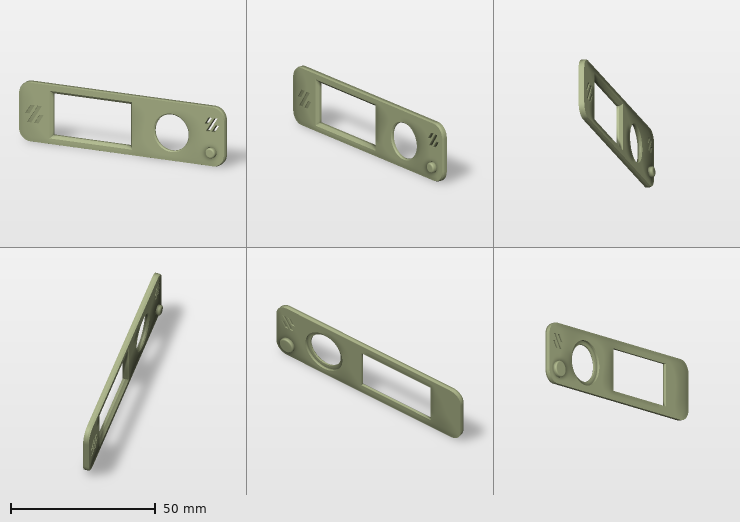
import cadquery as cq

PLATE_LENGTH = 79.3
PLATE_HEIGHT = 21.6
PLATE_THICKNESS = 2.0
CORNER_RADIUS = 4.5
EDGE_BEVEL_DEPTH = 0.7
EDGE_BEVEL_INSET = 0.2

WINDOW_LEFT = -26.65
WINDOW_RIGHT = 3.1
WINDOW_HEIGHT = 15.1
WINDOW_BEVEL = 1.0

DIAL_X = 19.2
DIAL_Z = -0.55
DIAL_DIAMETER = 13.0
DIAL_CHAMFER = 0.4
DIAL_RECESS_DIAMETER = 15.9
DIAL_RECESS_DEPTH = 0.95

SLOT_GROUP_HEIGHT = 5.1
SLOT_WIDTH_RATIO = 0.25
SLOT_PITCH_RATIO = 0.43
SLOT_LEAN = 0.64
OPEN_SLOTS_X = 34.75
OPEN_SLOTS_Z = 4.3
SHALLOW_SLOTS_X = -33.5
SHALLOW_SLOTS_Z = DIAL_Z
SHALLOW_SLOTS_HEIGHT = 6.35
SHALLOW_SLOTS_DEPTH = 0.4

BUTTON_X = 34.7
BUTTON_Z = -5.6
BUTTON_HOLE_DIAMETER = 4.0
BUTTON_DIAMETER = 3.7
BUTTON_PROTRUSION = 1.6
BUTTON_ROUNDING = 0.6
FLANGE_DIAMETER = 5.7
FLANGE_THICKNESS = 1.3
FLANGE_ROUNDING = 0.5


def front_plane(x=0, y=0, z=0):
    """Plane at the given point, facing +Y, with local axes along +Z and +X."""
    return cq.Workplane(cq.Plane(origin=(x, y, z), xDir=(0, 0, 1), normal=(0, 1, 0)))


def cylinder(x, z, diameter, start, end):
    return front_plane(x, start, z).circle(diameter / 2).extrude(end - start)


def plate_blank():
    """Rounded rectangle whose front rim has a steep bevel."""
    return (
        front_plane()
        .rect(PLATE_HEIGHT, PLATE_LENGTH)
        .extrude(PLATE_THICKNESS)
        .edges("|Y")
        .fillet(CORNER_RADIUS)
        .faces("<Y")
        .chamfer(EDGE_BEVEL_DEPTH, EDGE_BEVEL_INSET)
    )


def window_cutter():
    width = WINDOW_RIGHT - WINDOW_LEFT
    center_x = (WINDOW_LEFT + WINDOW_RIGHT) / 2
    opening = front_plane(center_x).rect(WINDOW_HEIGHT, width).extrude(PLATE_THICKNESS)
    rim = (
        front_plane(center_x)
        .rect(WINDOW_HEIGHT + 2 * WINDOW_BEVEL, width + 2 * WINDOW_BEVEL)
        .workplane(offset=WINDOW_BEVEL)
        .rect(WINDOW_HEIGHT, width)
        .loft(ruled=True)
    )
    return opening.union(rim)


def dial_cutter():
    bore = cylinder(DIAL_X, DIAL_Z, DIAL_DIAMETER, 0, PLATE_THICKNESS)
    recess_floor = PLATE_THICKNESS - DIAL_RECESS_DEPTH
    recess = cylinder(DIAL_X, DIAL_Z, DIAL_RECESS_DIAMETER, recess_floor, PLATE_THICKNESS)
    rim_radius = DIAL_DIAMETER / 2 + DIAL_CHAMFER
    rim = cq.Solid.makeCone(
        rim_radius, DIAL_DIAMETER / 2, DIAL_CHAMFER, cq.Vector(DIAL_X, 0, DIAL_Z), cq.Vector(0, 1, 0)
    )
    return bore.union(recess).union(cq.Workplane(rim))


def slot_cutter(x, z, group_height, depth):
    """A long middle slot, a short upper-left slot and a short lower-right slot."""
    half_height = group_height / 2
    half_width = SLOT_WIDTH_RATIO * group_height / 2
    pitch = SLOT_PITCH_RATIO * group_height
    slots = cq.Workplane()
    for shift, bottom, top in (
        (-pitch, 0, half_height),
        (0, -half_height, half_height),
        (pitch, -half_height, 0),
    ):
        low = shift + SLOT_LEAN * bottom
        high = shift + SLOT_LEAN * top
        corners = [
            (bottom, low - half_width),
            (bottom, low + half_width),
            (top, high + half_width),
            (top, high - half_width),
        ]
        slots = slots.add(front_plane(x, 0, z).polyline(corners).close().extrude(depth))
    return slots.combine()


def make_plate():
    return (
        plate_blank()
        .cut(window_cutter())
        .cut(dial_cutter())
        .cut(slot_cutter(OPEN_SLOTS_X, OPEN_SLOTS_Z, SLOT_GROUP_HEIGHT, PLATE_THICKNESS))
        .cut(slot_cutter(SHALLOW_SLOTS_X, SHALLOW_SLOTS_Z, SHALLOW_SLOTS_HEIGHT, SHALLOW_SLOTS_DEPTH))
        .cut(cylinder(BUTTON_X, BUTTON_Z, BUTTON_HOLE_DIAMETER, 0, PLATE_THICKNESS))
    )


def make_button():
    """Round-nosed stem with a flange resting against the back of the plate."""
    flange_back = PLATE_THICKNESS + FLANGE_THICKNESS
    stem = cylinder(BUTTON_X, BUTTON_Z, BUTTON_DIAMETER, -BUTTON_PROTRUSION, PLATE_THICKNESS)
    flange = cylinder(BUTTON_X, BUTTON_Z, FLANGE_DIAMETER, PLATE_THICKNESS, flange_back)
    rounded_stem = stem.faces("<Y").edges().fillet(BUTTON_ROUNDING)
    rounded_flange = flange.faces(">Y").edges().fillet(FLANGE_ROUNDING)
    return rounded_stem.union(rounded_flange)


plate = make_plate()
button = make_button()
result = cq.Compound.makeCompound([plate.val(), button.val()])